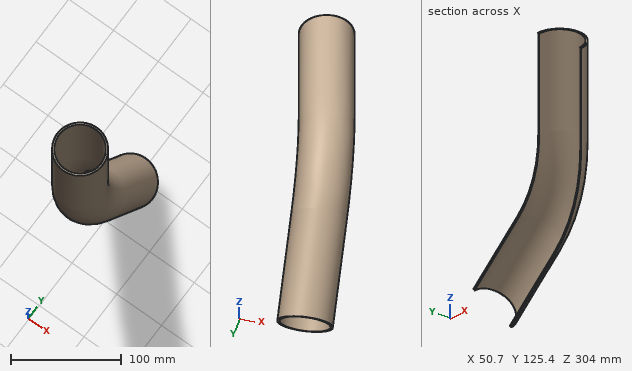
import cadquery as cq
import math

total_height = 304.0
outer_diameter = 50.7
inner_diameter = 46.5
bend_radius = 204.2
bend_angle = 30.0
lower_length = 101.5

angle = math.radians(bend_angle)
bend_drop = bend_radius * math.sin(angle)
bend_offset = bend_radius * (1 - math.cos(angle))

rim_drop = outer_diameter / 2 * math.sin(angle)
lower_drop = lower_length * math.cos(angle)
upper_length = total_height - bend_drop - lower_drop - rim_drop


def ring(plane):
    """Pipe cross-section on the given plane."""
    return cq.Workplane(plane).circle(outer_diameter / 2).circle(inner_diameter / 2)


upper_leg = ring(cq.Plane.XY()).extrude(upper_length)

elbow = ring(cq.Plane.XY()).revolve(bend_angle, (0, bend_radius, 0), (1, bend_radius, 0))

lower_plane = cq.Plane(
    origin=(0, bend_offset, -bend_drop),
    xDir=(1, 0, 0),
    normal=(0, math.sin(angle), -math.cos(angle)),
)
lower_leg = ring(lower_plane).extrude(lower_length)

result = upper_leg.union(elbow).union(lower_leg)